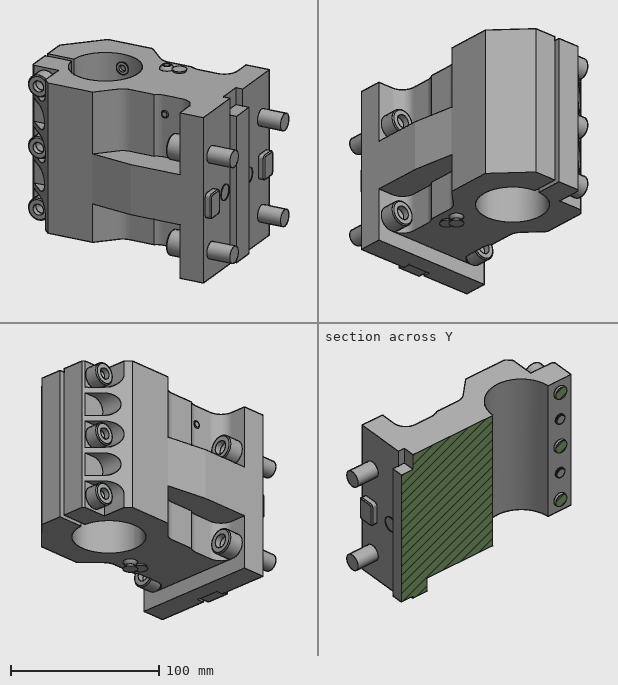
import cadquery as cq
import math


total_length = 162.5
plate_width = 95.0
holder_top = 120.9
body_bottom = 11.0
plate_front_x = 127.0
plate_back_x = 145.0
half_plate = plate_width / 2
body_height = holder_top - body_bottom

half_body = 43.0
corner_chamfer = 24.0
taper_start_x = 58.2
taper_end_x = 90.0
bore_x = 45.0
bore_diameter = 49.9
split_width = 3.7

rib_bottom = 39.2
rib_top = 75.7
pocket_half_gap = 27.3
pocket_deep_half_gap = 25.2
pocket_deep_x = 102.7
pocket_radius = 10.0

screw_x = 10.0
screw_pitch = 45.0
screw_mid_z = (holder_top + body_bottom) / 2
screw_seat_y = -20.3
screw_recess_radius = 9.9
clamp_shank_diameter = 10.0
clamp_head_diameter = 16.0
clamp_head_height = 10.2
clamp_socket_diameter = 8.0
jack_recess_radius = 8.5
jack_diameter = 7.6
jack_tip_length = 1.5
jack_tip_chamfer = 0.4

bolt_half_spacing_y = 36.4
bolt_mid_z = 55.1
bolt_spacing_z = 70.0
bolt_shank_diameter = 12.2
bolt_head_diameter = 18.0
bolt_head_height = 11.9
bolt_socket_diameter = 9.8
head_chamfer = 0.8
socket_depth_share = 0.4
drill_point_angle = 118.0

key_width = 18.0
key_back_x = 149.8
keyway_depth = 5.2
long_key_length = 107.0
side_key_back_x = 149.3
side_key_inner_y = 31.7
side_key_outer_y = 44.8
side_key_corner_radius = 2.5
side_key_chamfer = 0.8
seal_diameter = 11.4
seal_height = 0.5

coolant_y = 16.9
fitting_diameter = 10.0
nozzle_x = 82.9
nozzle_height = 123.5 - holder_top
nozzle_tip_diameter = 6.0
nozzle_hole_diameter = 4.4
nozzle_hole_depth = 2.5
nozzle_flare_height = 2.6
plug_x = 92.5
plug_height = 1.5
plug_base_diameter = 8.8

bore_screw_z = 110.7
bore_screw_diameter = 9.1
bore_screw_projection = 0.8
bore_screw_socket = 4.9
pocket_screw_x = 103.7
pocket_screw_z = 107.1
pocket_screw_diameter = 5.5
pocket_screw_tip_diameter = 3.9
pocket_screw_projection = 0.5

embed = 1.6


def cylinder(start, direction, diameter, length):
    """Round bar running from a start point along a direction."""
    return cq.Workplane(cq.Solid.makeCylinder(diameter / 2, length, cq.Vector(*start), cq.Vector(*direction)))


def cone(start, direction, start_diameter, end_diameter, length):
    """Tapered round bar running from a start point along a direction."""
    return cq.Workplane(
        cq.Solid.makeCone(start_diameter / 2, end_diameter / 2, length, cq.Vector(*start), cq.Vector(*direction))
    )


def box(x_range, y_range, z_range):
    """Block between the given limits on each axis."""
    sizes = [high - low for low, high in (x_range, y_range, z_range)]
    corner = (x_range[0], y_range[0], z_range[0])
    return cq.Workplane().box(*sizes, centered=False).translate(corner)


def mirrored(shape):
    """The shape together with its mirror image across the middle plane."""
    return shape.union(shape.mirror("XZ"))


def make_block():
    """Clamp block with corner chamfers, bore and split, joined to the flange plate."""
    outline = [
        (0, half_body - corner_chamfer),
        (corner_chamfer, half_body),
        (taper_start_x, half_body),
        (taper_end_x, half_plate),
        (plate_back_x, half_plate),
    ]
    far_side = [(x, -y) for x, y in reversed(outline)]
    block = cq.Workplane().polyline(outline + far_side).close().extrude(body_height)
    block = block.translate((0, 0, body_bottom))
    plate = box((plate_front_x, plate_back_x), (-half_plate, half_plate), (0, holder_top))
    bore = cylinder((bore_x, 0, 0), (0, 0, 1), bore_diameter, holder_top)
    split = box((0, bore_x), (-split_width / 2, split_width / 2), (0, holder_top))
    return block.union(plate).cut(bore).cut(split)


def make_pocket(z_low, z_high):
    """Side pocket on the +Y side: sloped front wall, stepped floor and rounded rear corner."""
    diagonal = math.sqrt(0.5)
    bend_x = taper_start_x + half_body - pocket_half_gap
    tangent = pocket_radius * math.tan(math.pi / 8)
    bend_centre = (bend_x + tangent, pocket_half_gap + pocket_radius)
    bend_middle = (
        bend_centre[0] - pocket_radius * math.sin(math.pi / 8),
        bend_centre[1] - pocket_radius * math.cos(math.pi / 8),
    )
    step = pocket_half_gap - pocket_deep_half_gap
    sweep = math.acos(1 - step / pocket_radius)
    step_x = pocket_deep_x - pocket_radius * math.sin(sweep)
    step_middle = (
        pocket_deep_x - pocket_radius * math.sin(sweep / 2),
        pocket_deep_half_gap + pocket_radius * (1 - math.cos(sweep / 2)),
    )
    corner_x = plate_front_x - pocket_radius
    corner_middle = (
        corner_x + pocket_radius * diagonal,
        pocket_deep_half_gap + pocket_radius * (1 - diagonal),
    )
    outer_y = half_plate + embed
    profile = (
        cq.Workplane()
        .moveTo(taper_start_x - (outer_y - half_body), outer_y)
        .lineTo(bend_x - tangent * diagonal, pocket_half_gap + tangent * diagonal)
        .threePointArc(bend_middle, (bend_centre[0], pocket_half_gap))
        .lineTo(step_x, pocket_half_gap)
        .threePointArc(step_middle, (pocket_deep_x, pocket_deep_half_gap))
        .lineTo(corner_x, pocket_deep_half_gap)
        .threePointArc(corner_middle, (plate_front_x, pocket_deep_half_gap + pocket_radius))
        .lineTo(plate_front_x, outer_y)
        .close()
    )
    return profile.extrude(z_high - z_low).translate((0, 0, z_low))


def make_screw_recess(z, radius):
    """D-shaped recess cut through the corner chamfer down to the screw seat."""
    y_range = (-half_body, screw_seat_y)
    round_end = cylinder((screw_x, -half_body, z), (0, 1, 0), 2 * radius, screw_seat_y + half_body)
    return round_end.union(box((0, screw_x), y_range, (z - radius, z + radius)))


def make_screw(seat, direction, head_diameter, head_height, socket_diameter, shank_diameter, shank_length):
    """Socket-head screw; the direction points from the seat along the shank."""
    seat = cq.Vector(*seat)
    direction = cq.Vector(*direction)
    top = seat - direction * head_height
    socket_depth = socket_depth_share * head_height
    point_depth = socket_diameter / 2 / math.tan(math.radians(drill_point_angle / 2))
    straight = head_height - head_chamfer
    rim_diameter = head_diameter - 2 * head_chamfer
    socket = cylinder(top.toTuple(), direction.toTuple(), socket_diameter, socket_depth)
    socket_end = (top + direction * socket_depth).toTuple()
    point = cone(socket_end, direction.toTuple(), socket_diameter, 0, point_depth)
    return (
        cylinder(seat.toTuple(), (-direction).toTuple(), head_diameter, straight)
        .union(cone(top.toTuple(), direction.toTuple(), rim_diameter, head_diameter, head_chamfer))
        .union(cylinder(seat.toTuple(), direction.toTuple(), shank_diameter, shank_length))
        .cut(socket)
        .cut(point)
    )


def make_side_key():
    """Short key at the +Y end of the plate back, with rounded edges and a chamfered back face."""
    half_width = key_width / 2
    key = box(
        (plate_back_x - keyway_depth, side_key_back_x),
        (side_key_inner_y, side_key_outer_y),
        (bolt_mid_z - half_width, bolt_mid_z + half_width),
    )
    return key.edges("|X").fillet(side_key_corner_radius).faces(">X").chamfer(side_key_chamfer)


def make_dome(z, outward):
    """Spherical nozzle cap on a face at height z; outward is +1 upward or -1 downward."""
    base_radius = fitting_diameter / 2
    tip_radius = nozzle_tip_diameter / 2
    sunk = (base_radius**2 - tip_radius**2 - nozzle_height**2) / (2 * nozzle_height)
    sphere_radius = math.hypot(base_radius, sunk)
    sphere = cq.Workplane().sphere(sphere_radius).translate((nozzle_x, coolant_y, z - outward * sunk))
    start = (nozzle_x, coolant_y, z - outward * embed)
    return sphere.intersect(cylinder(start, (0, 0, outward), 2 * sphere_radius, embed + nozzle_height))


def make_plug(z, outward):
    """Sealing plug that widens slightly away from the face."""
    return cone((plug_x, coolant_y, z), (0, 0, outward), plug_base_diameter, fitting_diameter, plug_height)


result = make_block()

result = result.cut(mirrored(make_pocket(rib_top, holder_top)))
result = result.cut(mirrored(make_pocket(body_bottom, rib_bottom)))

clamp_screw_heights = [screw_mid_z + i * screw_pitch for i in (-1, 0, 1)]
for z in clamp_screw_heights:
    result = result.cut(make_screw_recess(z, screw_recess_radius))
for z_range in ((body_bottom, clamp_screw_heights[0]), (clamp_screw_heights[-1], holder_top)):
    result = result.cut(box((0, screw_x + screw_recess_radius), (-half_body, screw_seat_y), z_range))

for z in clamp_screw_heights:
    result = result.union(
        make_screw(
            (screw_x, screw_seat_y, z), (0, 1, 0), clamp_head_diameter, clamp_head_height,
            clamp_socket_diameter, clamp_shank_diameter, embed + split_width / 2 - screw_seat_y,
        )
    )

for z in (screw_mid_z - screw_pitch / 2, screw_mid_z + screw_pitch / 2):
    result = result.cut(make_screw_recess(z, jack_recess_radius))
    tip = cylinder((screw_x, -split_width / 2 - embed, z), (0, 1, 0), jack_diameter, embed + jack_tip_length)
    result = result.union(tip.faces(">Y").chamfer(jack_tip_chamfer))

for z in (bolt_mid_z - bolt_spacing_z / 2, bolt_mid_z + bolt_spacing_z / 2):
    bolt = make_screw(
        (plate_front_x, bolt_half_spacing_y, z), (1, 0, 0), bolt_head_diameter, bolt_head_height,
        bolt_socket_diameter, bolt_shank_diameter, total_length - plate_front_x,
    )
    result = result.union(mirrored(bolt))

half_key = key_width / 2
keyway_x = plate_back_x - keyway_depth
long_key_z = (bolt_mid_z - long_key_length / 2, bolt_mid_z + long_key_length / 2)
result = result.cut(box((keyway_x, plate_back_x), (-half_key, half_key), (0, holder_top)))
result = result.union(box((keyway_x, key_back_x), (-half_key, half_key), long_key_z))
result = result.union(mirrored(make_side_key()))
seal = cylinder((plate_back_x - embed, coolant_y, bolt_mid_z), (1, 0, 0), seal_diameter, embed + seal_height)
result = result.union(mirrored(seal))

for z, outward in ((holder_top, 1), (body_bottom, -1)):
    result = result.union(make_dome(z, outward)).union(make_plug(z, outward))
nozzle_hole = cylinder(
    (nozzle_x, coolant_y, holder_top + nozzle_height), (0, 0, -1), nozzle_hole_diameter, nozzle_hole_depth
)
lower_tip = (nozzle_x, coolant_y, body_bottom - nozzle_height)
flare = cone(lower_tip, (0, 0, -1), nozzle_tip_diameter, fitting_diameter, nozzle_flare_height)
result = result.cut(nozzle_hole).union(flare)

bore_screw_tip_y = bore_diameter / 2 - bore_screw_projection
bore_screw_tip = (bore_x, bore_screw_tip_y, bore_screw_z)
bore_screw = cylinder(bore_screw_tip, (0, 1, 0), bore_screw_diameter, bore_screw_projection + embed)
bore_socket = cylinder(bore_screw_tip, (0, 1, 0), bore_screw_socket, bore_screw_projection + embed)
result = result.union(bore_screw).cut(bore_socket)

pocket_screw_base = (pocket_screw_x, -pocket_deep_half_gap, pocket_screw_z)
pocket_screw = cone(
    pocket_screw_base, (0, -1, 0), pocket_screw_diameter, pocket_screw_tip_diameter, pocket_screw_projection
)
result = result.union(pocket_screw)